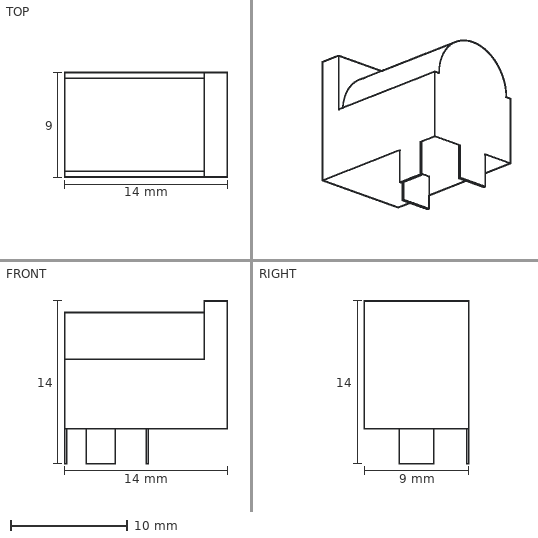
import cadquery as cq

length = 14.0
width = 9.0
height = 14.0

pin_length = 3.0
block_height = 6.0
barrel_radius = 4.0
flange_thickness = 2.0

pin_thickness = 0.2
cross_pin_width = 3.0
middle_pin_x = 7.0
side_pin_x = 1.85
side_pin_width = 2.5

barrel_length = length - flange_thickness
housing_height = height - pin_length


def box_at(x, y, z, size_x, size_y, size_z):
    """Box whose lowest corner is at (x, y, z)."""
    return cq.Workplane("XY").box(size_x, size_y, size_z, centered=False).translate((x, y, z))


def cross_pin(x):
    """Flat pin across the width, centred on the part and hanging below the block."""
    return box_at(x, -cross_pin_width / 2, -pin_length, pin_thickness, cross_pin_width, pin_length)


block = box_at(0, -width / 2, 0, length, width, block_height)
flange = box_at(barrel_length, -width / 2, 0, flange_thickness, width, housing_height)

barrel = (
    cq.Workplane("YZ")
    .moveTo(-barrel_radius, block_height)
    .threePointArc((0, block_height + barrel_radius), (barrel_radius, block_height))
    .close()
    .extrude(barrel_length)
)

side_pin = box_at(
    side_pin_x, width / 2 - pin_thickness, -pin_length,
    side_pin_width, pin_thickness, pin_length,
)

result = block.union(flange).union(barrel).union(side_pin)
for pin_x in (0, middle_pin_x):
    result = result.union(cross_pin(pin_x))
result = result.clean()